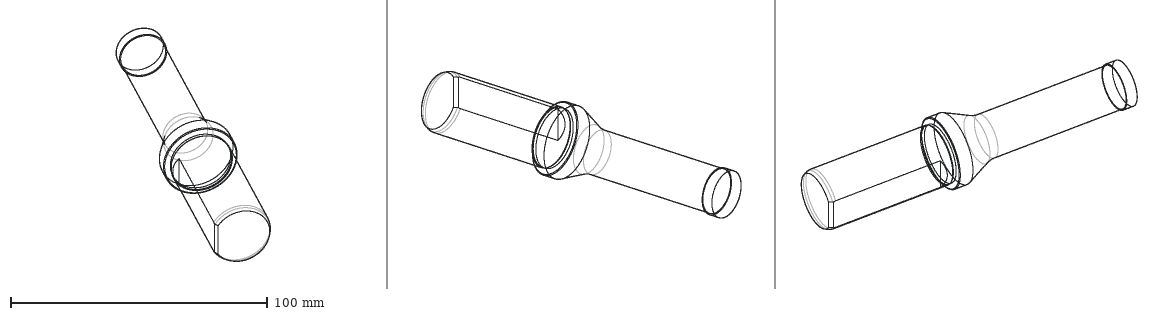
import cadquery as cq
import math

total_length = 139.6

head_radius = 9.6
head_length = 4.7

collar_diameter = 30.0
collar_radius = collar_diameter / 2
cone_angle = math.radians(25)
neck_end = 62.7
cone_start = 66.9
cone_end = 77.5
collar_back = 83.5
collar_chamfer_length = 0.3
collar_chamfer_depth = 0.4

shank_diameter = 25.0
shank_radius = shank_diameter / 2
groove_radius = 12.3
groove_length = 1.3
groove_ramp = 0.4

end_arc_length = 1.3
end_cone_length = 1.4
end_cone_angle = math.radians(25)

flat_distance = 10.5
flat_start = 89.6
flat_bevel_length = 1.7
flat_bevel_depth = 1.0


def tangent_arc_rise(length, angle):
    """Radial change of an arc that turns from axial to the given angle."""
    return length * math.tan(angle / 2)


def turned_body():
    """Half profile revolved about the X axis."""
    cone_start_radius = collar_radius - (cone_end - cone_start) * math.tan(cone_angle)
    neck_radius = cone_start_radius - tangent_arc_rise(cone_start - neck_end, cone_angle)
    groove_end = collar_back + groove_length
    end_arc_start = total_length - end_cone_length - end_arc_length
    end_arc_drop = tangent_arc_rise(end_arc_length, end_cone_angle)
    end_cone_radius = shank_radius - end_arc_drop
    end_radius = end_cone_radius - end_cone_length * math.tan(end_cone_angle)
    profile = (
        cq.Workplane("XY")
        .lineTo(0, head_radius)
        .lineTo(head_length, head_radius)
        .lineTo(head_length, neck_radius)
        .lineTo(neck_end, neck_radius)
        .tangentArcPoint((cone_start, cone_start_radius), relative=False)
        .lineTo(cone_end, collar_radius)
        .lineTo(collar_back - collar_chamfer_length, collar_radius)
        .lineTo(collar_back, collar_radius - collar_chamfer_depth)
        .lineTo(collar_back, groove_radius)
        .lineTo(groove_end, groove_radius)
        .lineTo(groove_end + groove_ramp, shank_radius)
        .lineTo(end_arc_start, shank_radius)
        .tangentArcPoint((end_arc_start + end_arc_length, end_cone_radius), relative=False)
        .lineTo(total_length, end_radius)
        .lineTo(total_length, 0)
        .close()
    )
    return profile.revolve(360, (0, 0, 0), (1, 0, 0))


def flat_cutter():
    """Material removed for the flat, its 45 degree run-out and its end bevel."""
    runout = shank_radius - flat_distance
    outline = [
        (flat_start - runout, -shank_radius),
        (flat_start, -flat_distance),
        (total_length - flat_bevel_length, -flat_distance),
        (total_length, -flat_distance + flat_bevel_depth),
        (total_length, -shank_radius),
    ]
    return cq.Workplane("XY").polyline(outline).close().extrude(shank_radius, both=True)


result = turned_body().cut(flat_cutter())